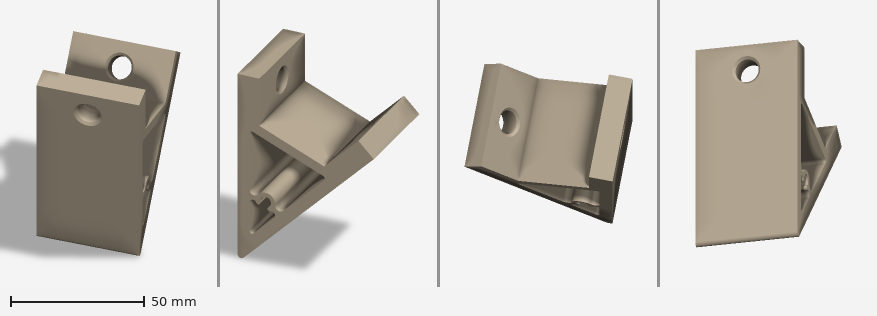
import cadquery as cq
import math

HEIGHT = 77.9
WIDTH = 40.0
HALF_ANGLE = math.radians(22.5)
CORNER_RADIUS = 1.5

LEG_END_THICKNESS = 9.0
WALL = 5.0
BRACE_TOP = 60.0
BRACE_THICKNESS = 4.0
POCKET_RADIUS = 1.0

CHANNEL_DISTANCE = 30.45
CHANNEL_OUTER_RADIUS = 4.0
CHANNEL_INNER_RADIUS = 2.25
LIP_HALF_ANGLE = math.radians(54)
UPPER_WEB_RADIUS = 2.0
LOWER_WEB_RADIUS = 1.5

HOLE_FROM_END = 10.0
HOLE_DIAMETER = 9.0
COUNTERSINK_DIAMETER = 11.0

CORNER_LOSS = CORNER_RADIUS * (1 / math.tan(HALF_ANGLE) - 1)
LEG_LENGTH = HEIGHT + CORNER_LOSS
MIRROR_NORMAL = cq.Vector(0, math.cos(HALF_ANGLE), -math.sin(HALF_ANGLE))


def reflect(point):
    """Reflect a (y, z) point in the bisector of the legs."""
    y, z = point
    c = math.cos(2 * HALF_ANGLE)
    s = math.sin(2 * HALF_ANGLE)
    return (-c * y + s * z, s * y + c * z)


def with_reflection(shape):
    return shape.union(shape.mirror(MIRROR_NORMAL, (0, 0, 0)))


def prism(points):
    return cq.Workplane("YZ").polyline(points).close().extrude(WIDTH / 2, both=True)


def rod(center, radius):
    return cq.Workplane("YZ").center(*center).circle(radius).extrude(WIDTH / 2, both=True)


def make_blank():
    """Outer outline of both legs and the brace."""
    half = [
        (0, LEG_LENGTH),
        (LEG_END_THICKNESS, LEG_LENGTH),
        (LEG_END_THICKNESS, BRACE_TOP),
    ]
    other_half = [reflect(p) for p in reversed(half)]
    blank = prism([(0, 0)] + half + other_half)
    return blank.edges("|X and <Z").fillet(CORNER_RADIUS)


def make_pocket():
    """Triangular opening between the walls and the brace, with rounded corners."""
    brace_slope = math.tan(HALF_ANGLE)
    wall_top = (
        BRACE_TOP
        + (LEG_END_THICKNESS - WALL) * brace_slope
        - BRACE_THICKNESS / math.cos(HALF_ANGLE)
    )
    inner_corner = (WALL, WALL / math.tan(HALF_ANGLE))
    top_corner = (WALL, wall_top)
    pocket = prism([inner_corner, top_corner, reflect(top_corner)])
    return pocket.edges("|X").fillet(POCKET_RADIUS)


def make_screw_channel():
    """Open ring with rounded lips, joined to each leg by a web with concave sides."""
    cy = CHANNEL_DISTANCE * math.sin(HALF_ANGLE)
    cz = CHANNEL_DISTANCE * math.cos(HALF_ANGLE)
    center = (cy, cz)
    lip_radius = (CHANNEL_OUTER_RADIUS - CHANNEL_INNER_RADIUS) / 2
    lip_orbit = CHANNEL_INNER_RADIUS + lip_radius

    opening = math.radians(270) - HALF_ANGLE
    lip_angle = opening - LIP_HALF_ANGLE
    lip = (cy + lip_orbit * math.cos(lip_angle), cz + lip_orbit * math.sin(lip_angle))

    upper_y = WALL + UPPER_WEB_RADIUS
    upper_z = cz + math.sqrt((CHANNEL_OUTER_RADIUS + UPPER_WEB_RADIUS) ** 2 - (cy - upper_y) ** 2)
    lower_y = WALL + LOWER_WEB_RADIUS
    lower_z = lip[1] - math.sqrt((lip_radius + LOWER_WEB_RADIUS) ** 2 - (lip[0] - lower_y) ** 2)
    upper = (upper_y, upper_z)
    lower = (lower_y, lower_z)

    web = prism([center, upper, (WALL, upper_z), (WALL, lower_z), lower, lip])
    web = web.cut(rod(upper, UPPER_WEB_RADIUS)).cut(rod(lower, LOWER_WEB_RADIUS))

    reach = 2 * CHANNEL_OUTER_RADIUS
    wedge_edge = (cy + reach * math.cos(lip_angle), cz + reach * math.sin(lip_angle))
    ring = rod(center, CHANNEL_OUTER_RADIUS).cut(prism([center, wedge_edge, reflect(wedge_edge)]))
    channel = ring.union(with_reflection(web))
    channel = channel.cut(rod(center, CHANNEL_INNER_RADIUS))
    return channel.union(with_reflection(rod(lip, lip_radius)))


def make_bolt_hole():
    """Through hole across the first leg, countersunk on both faces."""
    radius = HOLE_DIAMETER / 2
    rim = COUNTERSINK_DIAMETER / 2
    depth = rim - radius
    profile = [
        (0, 0),
        (rim, 0),
        (radius, depth),
        (radius, LEG_END_THICKNESS - depth),
        (rim, LEG_END_THICKNESS),
        (0, LEG_END_THICKNESS),
    ]
    hole = cq.Workplane("XY").polyline(profile).close().revolve(360, (0, 0, 0), (0, 1, 0))
    return hole.translate((0, 0, LEG_LENGTH - HOLE_FROM_END))


bracket = make_blank().cut(make_pocket()).union(make_screw_channel())
result = bracket.cut(with_reflection(make_bolt_hole()))